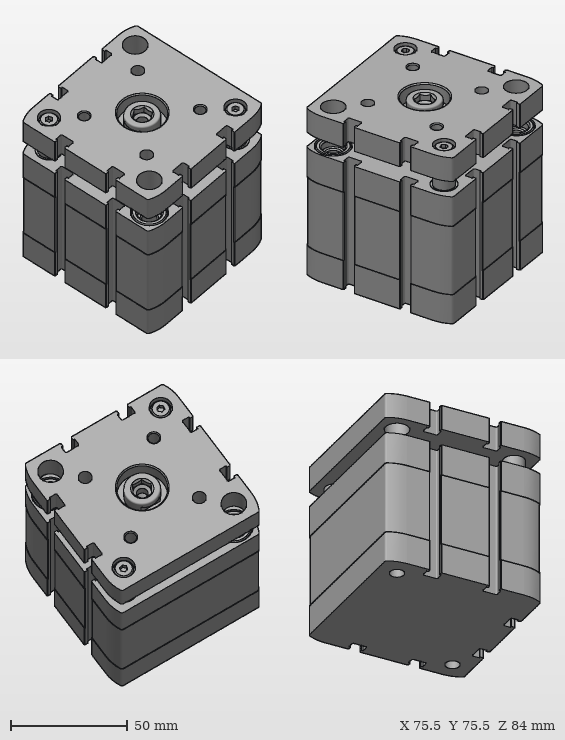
import cadquery as cq
import math

width = 75.5
half_width = width / 2
total_height = 84.0

plate_thickness = 12.0
housing_top = 64.3
upper_joint = 49.2
lower_joint = 14.7
plate_bottom = total_height - plate_thickness

flank_radius = 20.0
corner_fillet = 1.3
tube_inset = 0.25

slot_pitch = 29.0
slot_mouth = 5.3
slot_width = 7.0
slot_depth = 5.3
slot_lip = 1.8
slot_fillet = 0.6
slot_chamfer = 0.3

corner_pitch = 56.95
corner = corner_pitch / 2
guide_positions = [(-corner, -corner), (corner, corner)]
hollow_screw_positions = [(-corner, corner), (corner, -corner)]

guide_diameter = 10.0
guide_seat_diameter = 12.0
guide_seat_depth = 0.3
guide_end = lower_joint

head_recess_depth = 3.4
head_diameter = 8.6
head_chamfer = 0.6
head_below_top = 0.8
head_hex_flats = 3.0
head_hex_depth = 2.1
head_hex_angle = 15

rod_diameter = 16.0
rod_end = upper_joint
rod_below_top = 0.8
rod_top = total_height - rod_below_top
rod_fillet = 0.75
rod_flats = 12.7
rod_flat_below_top = 3.6
rod_flat_above_housing = 1.1
rod_flat_runout = 1.0
rod_flat_top = total_height - rod_flat_below_top
rod_flat_bottom = housing_top + rod_flat_above_housing

rod_hex_flats = 8.0
rod_hex_depth = 3.5
rod_hex_lead_in = 10.0
rod_bore_diameter = 5.0
rod_bore_depth = 5.0
drill_point_angle = 118

pocket_diameter = 22.0
pocket_depth = 7.6
pocket_chamfer = 0.6
access_diameter = 11.0
fixing_pitch = 35.45
fixing = fixing_pitch / 2
pin_hole_diameter = 6.0
thread_hole_diameter = 4.95

screw_recess_diameter = 16.4
screw_diameter = 15.5
screw_gap_depth = 1.7
screw_chamfer = 0.5
screw_mouth_diameter = 12.0
screw_bore_diameter = 10.6
screw_bore_depth = 3.7
screw_countersink_diameter = 7.9
screw_through_diameter = 6.6


def cylinder(diameter, bottom, top, position=(0, 0)):
    return cq.Workplane("XY", origin=(*position, bottom)).circle(diameter / 2).extrude(top - bottom)


def hexagon(flats, bottom, top, position=(0, 0), angle=0):
    """Hexagonal prism; at angle 0 two of its corners lie along X."""
    across_corners = flats / math.cos(math.pi / 6)
    prism = cq.Workplane("XY").polygon(6, across_corners).extrude(top - bottom)
    return prism.rotate((0, 0, 0), (0, 0, 1), angle).translate((*position, bottom))


def countersink(top_diameter, bottom_diameter, top, position=(0, 0), half_angle=45):
    """Cone that narrows downwards from top_diameter at the level top."""
    depth = (top_diameter - bottom_diameter) / 2 / math.tan(math.radians(half_angle))
    cone = cq.Solid.makeCone(
        bottom_diameter / 2, top_diameter / 2, depth, cq.Vector(*position, top - depth)
    )
    return cq.Workplane(cone)


def section(bottom, top, inset=0):
    """Block with the square outline, moved inwards by inset."""
    half = half_width - inset
    radius = flank_radius - inset
    arc_centre = half - radius
    arc_rise = half - corner
    end_angle = math.asin(arc_rise / radius)
    end_x = arc_centre + radius * math.cos(end_angle)
    mid_x = arc_centre + radius * math.cos(end_angle / 2)
    mid_y = corner + radius * math.sin(end_angle / 2)
    block = (
        cq.Workplane("XY", origin=(0, 0, bottom))
        .moveTo(half, -corner)
        .lineTo(half, corner)
        .threePointArc((mid_x, mid_y), (end_x, half))
        .lineTo(-end_x, half)
        .threePointArc((-mid_x, mid_y), (-half, corner))
        .lineTo(-half, -corner)
        .threePointArc((-mid_x, -mid_y), (-end_x, -half))
        .lineTo(end_x, -half)
        .threePointArc((mid_x, -mid_y), (half, -corner))
        .close()
        .extrude(top - bottom)
    )
    return block.edges("|Z").edges("<Y or >Y").fillet(corner_fillet)


def slot_cutter(bottom, top, inset):
    """One undercut slot along Z in the -Y side, with its mouth chamfered at the inset face."""
    height = top - bottom
    mouth = slot_mouth / 2
    flare = mouth + slot_chamfer
    opening = (
        cq.Workplane("XY")
        .polyline([
            (-flare, inset),
            (-mouth, inset + slot_chamfer),
            (-mouth, slot_depth),
            (mouth, slot_depth),
            (mouth, inset + slot_chamfer),
            (flare, inset),
        ])
        .close()
        .extrude(height)
    )
    undercut = (
        cq.Workplane("XY")
        .box(slot_width, slot_depth - slot_lip, height, centered=(True, False, False))
        .edges("|Z and >Y")
        .fillet(slot_fillet)
        .translate((0, slot_lip, 0))
    )
    return opening.union(undercut).translate((0, -half_width, bottom))


def slotted_section(bottom, top, inset=0):
    """Section with two slots in the -Y side and two in each X side; the +Y side is plain."""
    block = section(bottom, top, inset)
    slot = slot_cutter(bottom, top, inset)
    for side_angle in (0, 90, -90):
        for x in (-slot_pitch / 2, slot_pitch / 2):
            block = block.cut(slot.translate((x, 0, 0)).rotate((0, 0, 0), (0, 0, 1), side_angle))
    return block


def cut_hollow_screw(body, position):
    """Hollow screw: ring gap around its head, stepped bore and countersunk through hole."""
    gap_bottom = housing_top - screw_gap_depth
    head = cylinder(screw_diameter, gap_bottom, housing_top, position).faces(">Z").chamfer(screw_chamfer)
    gap = cylinder(screw_recess_diameter, gap_bottom, housing_top, position).cut(head)
    floor = housing_top - screw_bore_depth
    return (
        body.cut(gap)
        .cut(countersink(screw_mouth_diameter, screw_bore_diameter, housing_top, position))
        .cut(cylinder(screw_bore_diameter, floor, housing_top, position))
        .cut(countersink(screw_countersink_diameter, screw_through_diameter, floor, position))
        .cut(cylinder(screw_through_diameter, 0, floor, position))
    )


def make_housing():
    body = (
        slotted_section(0, lower_joint)
        .union(slotted_section(lower_joint, upper_joint, tube_inset))
        .union(slotted_section(upper_joint, housing_top))
        .cut(cylinder(rod_diameter, rod_end, housing_top))
    )
    for position in guide_positions:
        seat_bottom = housing_top - guide_seat_depth
        body = body.cut(cylinder(guide_diameter, guide_end, housing_top, position))
        body = body.cut(cylinder(guide_seat_diameter, seat_bottom, housing_top, position))
    for position in hollow_screw_positions:
        body = cut_hollow_screw(body, position)
    return body


def make_plate():
    plate = slotted_section(plate_bottom, total_height)
    plate = plate.cut(cylinder(pocket_diameter, total_height - pocket_depth, total_height))
    pocket_rim = pocket_diameter + 2 * pocket_chamfer
    plate = plate.cut(countersink(pocket_rim, pocket_diameter, total_height))
    for position in hollow_screw_positions:
        plate = plate.cut(cylinder(access_diameter, plate_bottom, total_height, position))
    for position in [(-fixing, fixing), (fixing, -fixing)]:
        plate = plate.cut(cylinder(pin_hole_diameter, plate_bottom, total_height, position))
    for position in [(-fixing, -fixing), (fixing, fixing)]:
        plate = plate.cut(cylinder(thread_hole_diameter, plate_bottom, total_height, position))
        plate = plate.cut(countersink(pin_hole_diameter, thread_hole_diameter, total_height, position))
    return plate


def make_rod_flat():
    """Cutter for the -Y wrench flat; its lower end slopes down and outwards."""
    flat = rod_flats / 2
    surface = rod_diameter / 2
    return (
        cq.Workplane("YZ")
        .polyline([
            (-flat, rod_flat_top),
            (-flat, rod_flat_bottom),
            (-surface, rod_flat_bottom - rod_flat_runout),
            (-surface, rod_flat_top),
        ])
        .close()
        .extrude(surface, both=True)
    )


def make_piston_rod():
    flat = make_rod_flat()
    return (
        cylinder(rod_diameter, rod_end, rod_top)
        .faces(">Z").edges().fillet(rod_fillet)
        .cut(flat)
        .cut(flat.mirror("XZ"))
    )


def cut_drive_socket(body):
    """Hexagon socket in the top of the piston rod, with a drilled hole below it."""
    hex_floor = rod_top - rod_hex_depth
    bore_floor = hex_floor - rod_bore_depth
    point_angle = drill_point_angle / 2
    return (
        body.cut(countersink(rod_hex_lead_in, rod_hex_flats, rod_top))
        .cut(hexagon(rod_hex_flats, hex_floor, rod_top))
        .cut(countersink(rod_hex_flats, rod_bore_diameter, hex_floor, half_angle=point_angle))
        .cut(cylinder(rod_bore_diameter, bore_floor, hex_floor))
        .cut(countersink(rod_bore_diameter, 0, bore_floor, half_angle=point_angle))
    )


def add_guide_rod(body, position):
    """Guide rod held in the plate by a socket screw whose head stands in a recess."""
    recess_floor = total_height - head_recess_depth
    head_top = total_height - head_below_top
    head = (
        cylinder(head_diameter, recess_floor, head_top, position)
        .faces(">Z").chamfer(head_chamfer)
        .cut(hexagon(head_hex_flats, head_top - head_hex_depth, head_top, position, head_hex_angle))
    )
    return (
        body.cut(cylinder(guide_diameter, recess_floor, total_height, position))
        .union(cylinder(guide_diameter, guide_end, recess_floor, position))
        .union(head)
    )


def make_moving_unit():
    unit = cut_drive_socket(make_plate().union(make_piston_rod()))
    for position in guide_positions:
        unit = add_guide_rod(unit, position)
    return unit


housing = make_housing()
moving_unit = make_moving_unit()

result = cq.Compound.makeCompound([housing.solids().val(), moving_unit.solids().val()])